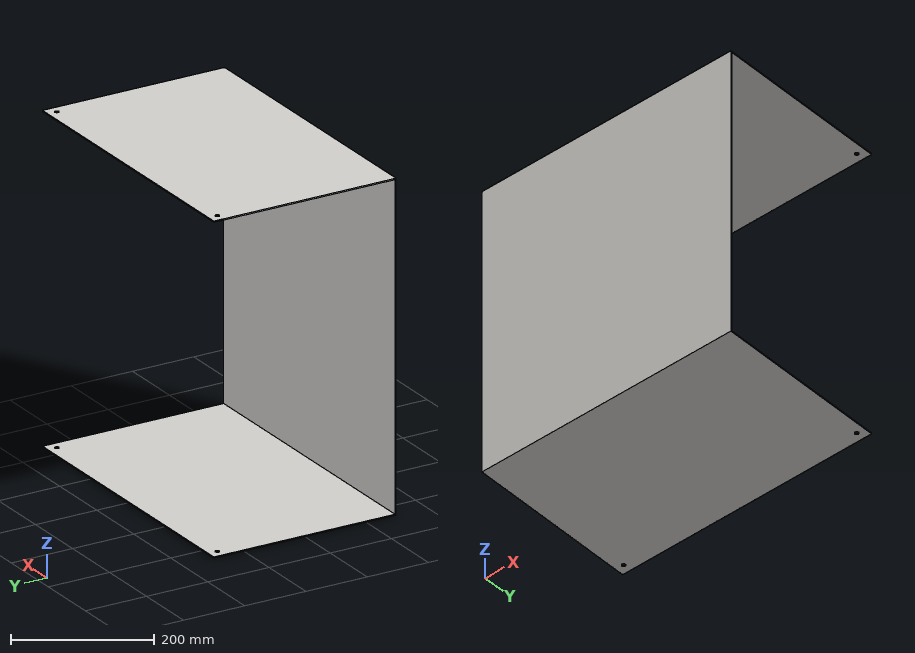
import cadquery as cq

width = 464.0
depth = 298.0
height = 512.0
thickness = 2.0

hole_diameter = 6.0
hole_edge_distance = 15.0


def folded_sheet():
    """Front panel with a rearward flange along its top and bottom edges."""
    outer = cq.Workplane("XY").box(width, depth, height)
    cavity = (
        cq.Workplane("XY")
        .box(width, depth, height - 2 * thickness)
        .translate((0, thickness, 0))
    )
    return outer.cut(cavity)


def flange_holes():
    """Vertical drills that pass through both flanges."""
    hole_x = width / 2 - hole_edge_distance
    hole_y = depth / 2 - hole_edge_distance
    return (
        cq.Workplane("XY")
        .pushPoints([(-hole_x, hole_y), (hole_x, hole_y)])
        .circle(hole_diameter / 2)
        .extrude(height, both=True)
    )


result = folded_sheet().cut(flange_holes())